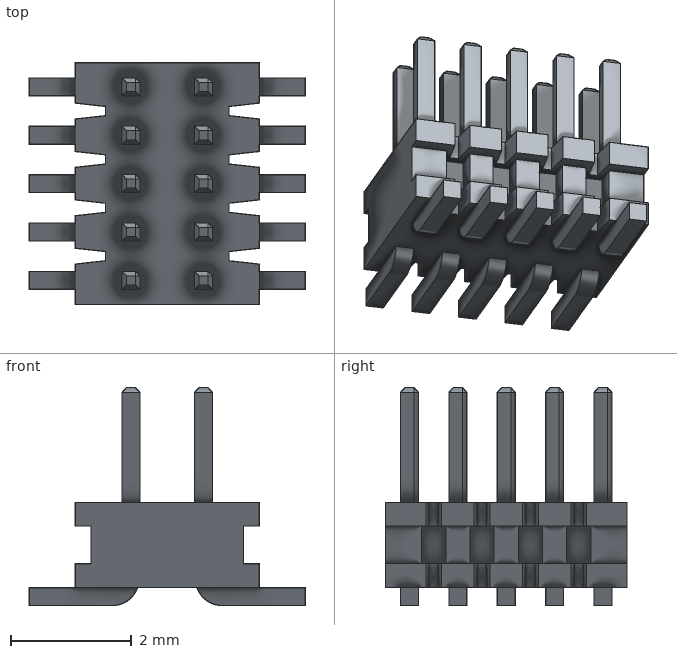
import cadquery as cq
import math

ROW_COUNT = 5
ROW_PITCH = 0.8
COLUMN_PITCH = 1.2

PIN_SIZE = 0.3
PIN_TIP_INSET = 0.075
PIN_TIP_HEIGHT = 0.08
LEG_BEND_RADIUS = 0.45
LEG_BEND_INNER_X = 0.49

SPAN_X = 4.57
TOTAL_HEIGHT = 3.61

BODY_X = 3.05
BODY_Y = ROW_COUNT * ROW_PITCH
BODY_BOTTOM = PIN_SIZE
BODY_HEIGHT = 1.41
BODY_TOP = BODY_BOTTOM + BODY_HEIGHT
FLANGE_HEIGHT = 0.395
WAIST_X = 2.53
WAIST_HEIGHT = BODY_HEIGHT - 2 * FLANGE_HEIGHT
WAIST_BOTTOM = BODY_BOTTOM + FLANGE_HEIGHT

NOTCH_DEPTH = 0.5
NOTCH_FLOOR_X = BODY_X / 2 - NOTCH_DEPTH
NOTCH_MOUTH = 0.26
NOTCH_FLOOR = 0.15
WAIST_NOTCH = ROW_PITCH / 2
WAIST_NOTCH_DEPTH = 0.4

SIDES = (-1, 1)
ROW_Y = [(i - (ROW_COUNT - 1) / 2) * ROW_PITCH for i in range(ROW_COUNT)]
NOTCH_Y = [y + ROW_PITCH / 2 for y in ROW_Y[:-1]]


def box(size_x, size_y, height, x, y, bottom):
    """Box centred on (x, y) and standing on the given height."""
    base = cq.Workplane("XY").box(size_x, size_y, height, centered=(True, True, False))
    return base.translate((x, y, bottom))


def make_notch(side, y):
    """Tapered notch through the full body height, widened and deepened along the waist."""
    mouth_x = side * BODY_X / 2
    floor_x = side * NOTCH_FLOOR_X
    taper = (
        cq.Workplane("XY", origin=(0, y, BODY_BOTTOM))
        .polyline([
            (mouth_x, -NOTCH_MOUTH / 2),
            (mouth_x, NOTCH_MOUTH / 2),
            (floor_x, NOTCH_FLOOR / 2),
            (floor_x, -NOTCH_FLOOR / 2),
        ])
        .close()
        .extrude(BODY_HEIGHT)
    )
    centre_x = side * (WAIST_X - WAIST_NOTCH_DEPTH) / 2
    widening = box(WAIST_NOTCH_DEPTH, WAIST_NOTCH, WAIST_HEIGHT, centre_x, y, WAIST_BOTTOM)
    return taper.union(widening)


def make_body():
    """Block with a groove along each long side and notches between the contacts."""
    body = box(BODY_X, BODY_Y, BODY_HEIGHT, 0, 0, BODY_BOTTOM)
    groove_depth = (BODY_X - WAIST_X) / 2
    groove_x = (BODY_X + WAIST_X) / 4
    for side in SIDES:
        body = body.cut(box(groove_depth, BODY_Y, WAIST_HEIGHT, side * groove_x, 0, WAIST_BOTTOM))
        for y in NOTCH_Y:
            body = body.cut(make_notch(side, y))
    return body


def make_pin_corner_cut(x, y):
    """Material removed from a pin's +X +Y corner, sloping inward at the tip to its top corner."""
    shaft_top = TOTAL_HEIGHT - PIN_TIP_HEIGHT
    top_corner = (PIN_SIZE / 2 - PIN_TIP_INSET) * math.sqrt(2)
    corner_flat = (PIN_SIZE - PIN_TIP_INSET) / math.sqrt(2)
    outside = PIN_SIZE
    diagonal_plane = cq.Plane(origin=(x, y, 0), xDir=(1, 1, 0), normal=(1, -1, 0))
    return (
        cq.Workplane(diagonal_plane)
        .polyline([
            (top_corner, TOTAL_HEIGHT),
            (corner_flat, shaft_top),
            (corner_flat, BODY_TOP),
            (outside, BODY_TOP),
            (outside, TOTAL_HEIGHT),
        ])
        .close()
        .extrude(PIN_SIZE, both=True)
    )


def make_pin(x, y):
    """Upright pin with one flattened corner and a pyramidal tip, rising from the body's underside."""
    shaft_top = TOTAL_HEIGHT - PIN_TIP_HEIGHT
    shaft = box(PIN_SIZE, PIN_SIZE, shaft_top - BODY_BOTTOM, x, y, BODY_BOTTOM)
    tip_size = PIN_SIZE - 2 * PIN_TIP_INSET
    tip = (
        cq.Workplane("XY", origin=(x, y, shaft_top))
        .rect(PIN_SIZE, PIN_SIZE)
        .workplane(offset=PIN_TIP_HEIGHT)
        .rect(tip_size, tip_size)
        .loft(ruled=True)
    )
    return shaft.union(tip).cut(make_pin_corner_cut(x, y))


def make_leg(side, y):
    """Flat soldering leg under the body, with its inner end rounded upward by the bend."""
    bend_rise = LEG_BEND_RADIUS - PIN_SIZE
    bend_angle = math.acos(bend_rise / LEG_BEND_RADIUS)
    bend_centre_x = LEG_BEND_INNER_X + LEG_BEND_RADIUS * math.sin(bend_angle)
    mid_x = bend_centre_x - LEG_BEND_RADIUS * math.sin(bend_angle / 2)
    mid_z = LEG_BEND_RADIUS * (1 - math.cos(bend_angle / 2))
    return (
        cq.Workplane("XZ", origin=(0, y + PIN_SIZE / 2, 0))
        .moveTo(side * SPAN_X / 2, PIN_SIZE)
        .lineTo(side * SPAN_X / 2, 0)
        .lineTo(side * bend_centre_x, 0)
        .threePointArc((side * mid_x, mid_z), (side * LEG_BEND_INNER_X, PIN_SIZE))
        .close()
        .extrude(PIN_SIZE)
    )


result = make_body()
for row_y in ROW_Y:
    for column_side in SIDES:
        result = result.union(make_pin(column_side * COLUMN_PITCH / 2, row_y))
        result = result.union(make_leg(column_side, row_y))